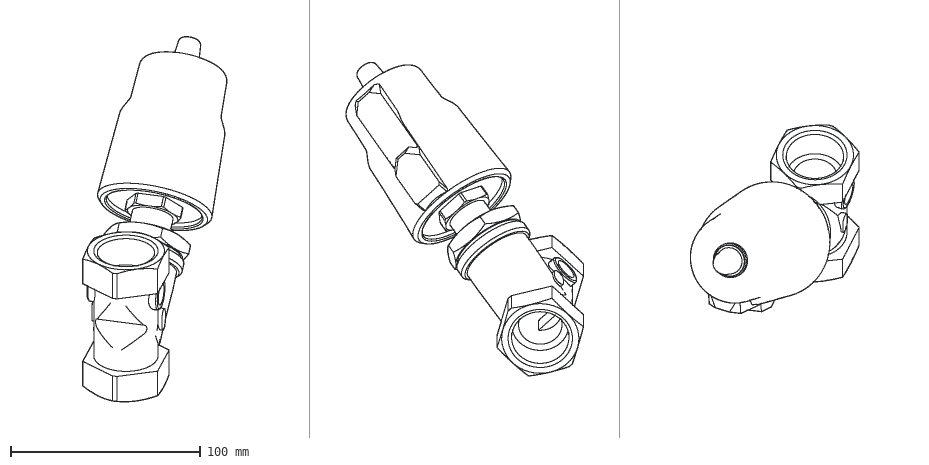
import cadquery as cq
import math


BODY_LENGTH = 80.0
PIPE_RADIUS = 17.0
FLOW_RADIUS = 11.5
HEX_FLATS = 41.0
HEX_HEIGHT = 16.5
HEX_TIP_TRIM = 22.95
HEX_FACE_RADIUS = 20.4
HEX_CHAMFER_DROP = 1.6
THREAD_RADIUS = 30.29 / 2
THREAD_DEPTH = 17.0
THREAD_MOUTH_RADIUS = 17.0
THREAD_MOUTH_DEPTH = 1.1

WAIST_TOP = 21.6
WAIST_TOP_Y = -16.88
WAIST_BOTTOM = -12.3
WAIST_FLANK_Y = -11.2
WAIST_VALLEY_Y = -9.6
WAIST_UPPER_Z = 2.9
WAIST_LOWER_Z = -2.5
WEB_Y = -7.5
WEB_HALF_HEIGHT = 6.0

SIDE_ROOT_X = 12.0
SIDE_FACE_X = 19.25
BOSS_Z = 16.5
BOSS_RADIUS = 8.6
BOSS_CHAMFER = 0.7
DIMPLE_RADIUS = 5.8
DIMPLE_TIP_RADIUS = 0.8
DIMPLE_DEPTH = 4.0
PAD_Y = 5.3
PAD_Z = -1.6
PAD_LENGTH = 12.3
PAD_WIDTH = 6.4

AXIS_RISE = 40.0
AXIS_ORIGIN_Z = -13.7

BRANCH_START = 1.2
BRANCH_ROUND = 1.5
BRANCH_START_RADIUS = 18.0
BRANCH_RADIUS = 18.8
BRANCH_DRAFT_END = 33.0
FLANGE_START = 42.2
FLANGE_END = 48.0
FLANGE_RADIUS = 21.55
FLANGE_CHAMFER = 1.4
NECK_RADIUS = 39.0 / 2
BONNET_START = 50.5
BONNET_END = 58.8
BONNET_CHAMFER_DROP = 1.7
STEM_RADIUS = 11.0

LOCKNUT_START = 71.2
LOCKNUT_FLATS = 27.0
LOCKNUT_TIP_RADIUS = 15.2
LOCKNUT_FACE_RADIUS = 13.6
LOCKNUT_CHAMFER_DROP = 0.8
CUP_FACE = 74.4
CUP_FACE_RADIUS = 29.0
CUP_RADIUS = 30.9
CUP_CHAMFER_END = 76.6
RECESS_FLOOR = 77.5
RECESS_RADIUS = 51.7 / 2
RECESS_CHAMFER = 0.75
SHOULDER_START = 123.3
SHOULDER_START_RADIUS = 28.45
SHOULDER_BREAK = 125.3
SHOULDER_BREAK_RADIUS = 27.8
CAP_BLEND_START = 130.6
CAP_BLEND_START_RADIUS = 25.2
CAP_START = 132.6
CAP_START_RADIUS = 24.5
CAP_ROUND_START = 151.8
CAP_ROUND_RADIUS = 23.65
CAP_END = 156.5
CAP_FACE_RADIUS = 18.8

COLLAR_RADIUS = 18.2 / 2
COLLAR_END = 158.7
STEP_RADIUS = 8.3
STEP_END = 159.7
KNOB_BASE_RADIUS = 7.0
KNOB_TIP_RADIUS = 6.1
KNOB_FACE_RADIUS = 3.2
KNOB_END = 171.85

LUG_HALF_WIDTH = 9.0
LUG_END_SLOPE = 0.6
LUG_CORNER_GROWTH = 0.45
REAR_LUG_END = 148.3
REAR_LUG_DEPTH = 29.0
REAR_LUG_CORNER = 5.0
FRONT_LUG_END = 107.2
FRONT_LUG_DEPTH = 34.0
FRONT_LUG_CORNER = 6.5
FRONT_LUG_BEVEL = 4.2
FRONT_LUG_SIDE_CHAMFER = 1.0
LUG_ROOT_HEIGHT = 7.0


def cylinder(radius, start, end):
    """Cylinder on the local Z axis from start to end."""
    return cq.Workplane("XY").workplane(offset=start).circle(radius).extrude(end - start)


def revolve_profile(profile):
    """Turn a closed XZ outline about the Z axis."""
    return profile.close().revolve(360, (0, 0, 0), (0, 1, 0))


def tip_cone(flats, face_radius, drop, face_z, direction):
    """Envelope that chamfers hexagon corners at one end face."""
    corner_radius = flats / math.sqrt(3)
    clear_radius = corner_radius + 1
    far_z = face_z - direction * 2 * BODY_LENGTH
    return revolve_profile(
        cq.Workplane("XZ")
        .moveTo(0, face_z)
        .lineTo(face_radius, face_z)
        .lineTo(corner_radius, face_z - direction * drop)
        .lineTo(clear_radius, face_z - direction * drop)
        .lineTo(clear_radius, far_z)
        .lineTo(0, far_z)
    )


def hexagon(flats, start, end, turn=0):
    """Hexagonal prism on Z; corners lie on the X axis when turn is zero."""
    prism = cq.Workplane("XY").workplane(offset=start).polygon(6, 2 * flats / math.sqrt(3))
    return prism.extrude(end - start).rotate((0, 0, 0), (0, 0, 1), turn)


def end_hexagon(direction):
    """Pipe-end hexagon at the top (direction 1) or bottom (direction -1)."""
    outer = direction * BODY_LENGTH / 2
    inner = outer - direction * HEX_HEIGHT
    prism = hexagon(HEX_FLATS, min(outer, inner), max(outer, inner), turn=30)
    trim = cq.Workplane("XY").box(2 * HEX_FLATS, 2 * HEX_TIP_TRIM, 2 * BODY_LENGTH)
    envelope = tip_cone(HEX_FLATS, HEX_FACE_RADIUS, HEX_CHAMFER_DROP, outer, direction)
    return prism.intersect(trim).intersect(envelope)


def threaded_socket(direction):
    """Cutter for the socket and its countersunk mouth at one pipe end."""
    face = direction * BODY_LENGTH / 2
    return revolve_profile(
        cq.Workplane("XZ")
        .moveTo(0, face)
        .lineTo(THREAD_MOUTH_RADIUS, face)
        .lineTo(THREAD_RADIUS, face - direction * THREAD_MOUTH_DEPTH)
        .lineTo(THREAD_RADIUS, face - direction * THREAD_DEPTH)
        .lineTo(0, face - direction * THREAD_DEPTH)
    )


def flank_middle(tip_y, tip_z, valley_z):
    """Middle point of a waist flank: an arc that starts vertical at its outer tip."""
    inset = WAIST_FLANK_Y - tip_y
    height = tip_z - valley_z
    radius = (inset**2 + height**2) / (2 * inset)
    half_sweep = math.asin(abs(height) / radius) / 2
    middle_y = tip_y + radius * (1 - math.cos(half_sweep))
    middle_z = tip_z - math.copysign(radius * math.sin(half_sweep), height)
    return middle_y, middle_z


def waist_cutter():
    """Notch across the -Y side: two convex flanks and a rounded valley."""
    outside_y = -2 * PIPE_RADIUS
    upper_middle = flank_middle(WAIST_TOP_Y, WAIST_TOP, WAIST_UPPER_Z)
    lower_middle = flank_middle(-PIPE_RADIUS, WAIST_BOTTOM, WAIST_LOWER_Z)
    valley_z = (WAIST_UPPER_Z + WAIST_LOWER_Z) / 2
    return (
        cq.Workplane("YZ")
        .moveTo(outside_y, WAIST_TOP)
        .lineTo(WAIST_TOP_Y, WAIST_TOP)
        .threePointArc(upper_middle, (WAIST_FLANK_Y, WAIST_UPPER_Z))
        .threePointArc((WAIST_VALLEY_Y, valley_z), (WAIST_FLANK_Y, WAIST_LOWER_Z))
        .threePointArc(lower_middle, (-PIPE_RADIUS, WAIST_BOTTOM))
        .lineTo(outside_y, WAIST_BOTTOM)
        .close()
        .extrude(2 * PIPE_RADIUS, both=True)
    )


def flow_cutter():
    """Through bore, flattened behind the waist, with a socket at each end."""
    bore = cylinder(FLOW_RADIUS, -BODY_LENGTH / 2, BODY_LENGTH / 2)
    web = cq.Workplane("XY").box(2 * PIPE_RADIUS, PIPE_RADIUS, 2 * WEB_HALF_HEIGHT)
    web = web.translate((0, WEB_Y - PIPE_RADIUS / 2, 0))
    return bore.cut(web).union(threaded_socket(1)).union(threaded_socket(-1))


def side_features():
    """Round boss and oval pad for the +X side."""
    height = SIDE_FACE_X - SIDE_ROOT_X
    root = cq.Workplane("YZ").workplane(offset=SIDE_ROOT_X)
    boss = root.center(0, BOSS_Z).circle(BOSS_RADIUS).extrude(height)
    boss = boss.faces(">X").chamfer(BOSS_CHAMFER)
    pad = (
        cq.Workplane("YZ")
        .workplane(offset=SIDE_ROOT_X)
        .center(PAD_Y, PAD_Z)
        .slot2D(PAD_LENGTH, PAD_WIDTH, 90)
        .extrude(height)
    )
    return boss.union(pad)


def dimple_cutter():
    """Conical dimple in the face of the +X boss."""
    return (
        cq.Workplane("YZ")
        .workplane(offset=SIDE_FACE_X)
        .center(0, BOSS_Z)
        .circle(DIMPLE_RADIUS)
        .workplane(offset=-DIMPLE_DEPTH)
        .circle(DIMPLE_TIP_RADIUS)
        .loft()
    )


def branch():
    """Drafted branch, flange and neck up to the bonnet nut."""
    return revolve_profile(
        cq.Workplane("XZ")
        .moveTo(0, BRANCH_START)
        .lineTo(BRANCH_START_RADIUS - BRANCH_ROUND, BRANCH_START)
        .radiusArc((BRANCH_START_RADIUS, BRANCH_START + BRANCH_ROUND), -BRANCH_ROUND)
        .lineTo(BRANCH_RADIUS, BRANCH_DRAFT_END)
        .lineTo(BRANCH_RADIUS, FLANGE_START)
        .lineTo(FLANGE_RADIUS - FLANGE_CHAMFER, FLANGE_START)
        .lineTo(FLANGE_RADIUS, FLANGE_START + FLANGE_CHAMFER)
        .lineTo(FLANGE_RADIUS, FLANGE_END)
        .lineTo(NECK_RADIUS, FLANGE_END)
        .lineTo(NECK_RADIUS, BONNET_START)
        .lineTo(0, BONNET_START)
    )


def bonnet_nut():
    """Hexagon chamfered on both faces."""
    nut = hexagon(HEX_FLATS, BONNET_START, BONNET_END)
    for face, direction in ((BONNET_START, -1), (BONNET_END, 1)):
        nut = nut.intersect(
            tip_cone(HEX_FLATS, HEX_FACE_RADIUS, BONNET_CHAMFER_DROP, face, direction)
        )
    return nut


def locknut():
    """Hexagon with its corners turned round, chamfered on its lower face."""
    nut = hexagon(LOCKNUT_FLATS, LOCKNUT_START, RECESS_FLOOR)
    envelope = tip_cone(
        LOCKNUT_FLATS, LOCKNUT_FACE_RADIUS, LOCKNUT_CHAMFER_DROP, LOCKNUT_START, -1
    )
    return nut.intersect(cylinder(LOCKNUT_TIP_RADIUS, LOCKNUT_START, RECESS_FLOOR)).intersect(envelope)


def actuator_shell():
    """Cup, shoulder and rounded cap, with a shallow recess in the lower face."""
    round_height = CAP_END - CAP_ROUND_START
    round_width = CAP_ROUND_RADIUS - CAP_FACE_RADIUS
    round_middle = (
        CAP_FACE_RADIUS + round_width * math.sqrt(0.5),
        CAP_ROUND_START + round_height * math.sqrt(0.5),
    )
    return revolve_profile(
        cq.Workplane("XZ")
        .moveTo(0, RECESS_FLOOR)
        .lineTo(RECESS_RADIUS, RECESS_FLOOR)
        .lineTo(RECESS_RADIUS, CUP_FACE + RECESS_CHAMFER)
        .lineTo(RECESS_RADIUS + RECESS_CHAMFER, CUP_FACE)
        .lineTo(CUP_FACE_RADIUS, CUP_FACE)
        .lineTo(CUP_RADIUS, CUP_CHAMFER_END)
        .lineTo(SHOULDER_START_RADIUS, SHOULDER_START)
        .lineTo(SHOULDER_BREAK_RADIUS, SHOULDER_BREAK)
        .lineTo(CAP_BLEND_START_RADIUS, CAP_BLEND_START)
        .lineTo(CAP_START_RADIUS, CAP_START)
        .lineTo(CAP_ROUND_RADIUS, CAP_ROUND_START)
        .threePointArc(round_middle, (CAP_FACE_RADIUS, CAP_END))
        .lineTo(0, CAP_END)
    )


def knob():
    """Stepped collar and tapered indicator knob with a rounded tip."""
    tip_round = KNOB_TIP_RADIUS - KNOB_FACE_RADIUS
    return revolve_profile(
        cq.Workplane("XZ")
        .moveTo(0, CAP_END)
        .lineTo(COLLAR_RADIUS, CAP_END)
        .lineTo(COLLAR_RADIUS, COLLAR_END)
        .lineTo(STEP_RADIUS, COLLAR_END)
        .lineTo(STEP_RADIUS, STEP_END)
        .lineTo(KNOB_BASE_RADIUS, STEP_END)
        .lineTo(KNOB_TIP_RADIUS, KNOB_END - tip_round)
        .radiusArc((KNOB_FACE_RADIUS, KNOB_END), -tip_round)
        .lineTo(0, KNOB_END)
    )


def lug(start, end, depth, corner):
    """Lug on the underside: leaning end face and corner chamfers that widen outward."""

    def outline(end_z, leg):
        return [
            (-LUG_HALF_WIDTH, -start),
            (LUG_HALF_WIDTH, -start),
            (LUG_HALF_WIDTH, -end_z + leg),
            (LUG_HALF_WIDTH - leg, -end_z),
            (-LUG_HALF_WIDTH + leg, -end_z),
            (-LUG_HALF_WIDTH, -end_z + leg),
        ]

    root_end = end + LUG_END_SLOPE * LUG_ROOT_HEIGHT
    root_leg = corner - LUG_CORNER_GROWTH * LUG_ROOT_HEIGHT
    face = cq.Workplane(cq.Plane((0, depth, 0), (1, 0, 0), (0, 1, 0)))
    return (
        face.polyline(outline(end, corner))
        .close()
        .workplane(offset=-LUG_ROOT_HEIGHT)
        .polyline(outline(root_end, root_leg))
        .close()
        .loft(ruled=True)
    )


def port_lugs():
    """Shallow rear lug and deeper front lug with a bevelled lower edge."""
    rear = lug(FRONT_LUG_END, REAR_LUG_END, REAR_LUG_DEPTH, REAR_LUG_CORNER)
    front = lug(CUP_CHAMFER_END, FRONT_LUG_END, FRONT_LUG_DEPTH, FRONT_LUG_CORNER)
    front = front.faces("<Z").edges(">Y").chamfer(FRONT_LUG_BEVEL)
    front = front.faces(">(0,1,-1)").edges("not |X").chamfer(FRONT_LUG_SIDE_CHAMFER)
    return rear.union(front)


def slanted_assembly():
    """Everything on the slanted axis, built along local Z and then tilted."""
    upright = (
        branch()
        .union(bonnet_nut())
        .union(cylinder(STEM_RADIUS, BONNET_END, RECESS_FLOOR))
        .union(locknut())
        .union(actuator_shell())
        .union(port_lugs())
        .union(knob())
    )
    tilted = upright.rotate((0, 0, 0), (1, 0, 0), AXIS_RISE - 90)
    return tilted.translate((0, 0, AXIS_ORIGIN_Z))


pipe = cylinder(PIPE_RADIUS, -BODY_LENGTH / 2, BODY_LENGTH / 2)
sides = side_features()
dimple = dimple_cutter()
body = pipe.union(slanted_assembly())
body = body.union(sides).union(sides.mirror("YZ"))
body = body.cut(dimple).cut(dimple.mirror("YZ"))
body = body.cut(waist_cutter())
body = body.union(end_hexagon(1)).union(end_hexagon(-1))
result = body.cut(flow_cutter())